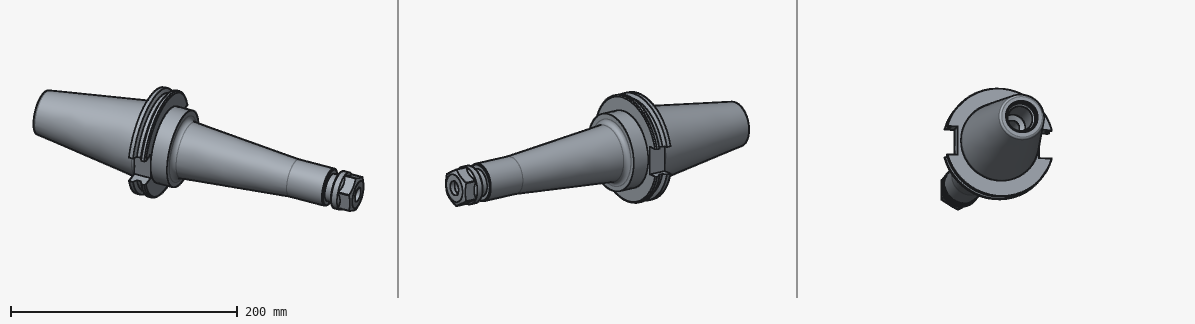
import cadquery as cq
import math

overall_length = 304.8
gauge_x = 101.5
flange_x = 104.5
flange_width = 16.0
collar_end_x = 136.0
cone_start_x = 140.5
cone_end_x = 243.2
body_end_x = 278.3
nut_x = 285.5
collar_cone_x = 292.0

gauge_diameter = 69.8
taper_slope = 7 / 24 / 2
small_end_radius = gauge_diameter / 2 - gauge_x * taper_slope
small_end_round = 2.0

flange_diameter = 97.2
flange_chamfer = 1.2
groove_width = 8.0
groove_depth = 3.7
groove_half_angle = math.radians(30)
slot_width = 25.5
slot_floor_front = 35.5
slot_floor_back = 37.8

collar_diameter = 70.0
cone_start_diameter = 51.5
root_fillet_radius = cone_start_x - collar_end_x
body_diameter = 34.0
body_chamfer = 1.0
thread_diameter = 25.0

through_bore_diameter = 12.8
mouth_diameter = 26.8
mouth_chamfer = 1.0
mouth_depth = 3.7
pilot_diameter = 26.2
pilot_depth = 6.7
tap_entry_x = 8.2
tapped_diameter = 22.3
tapped_depth = 42.7
drill_point_half_angle = math.radians(60)

nut_diameter = body_diameter
nut_chamfer = 1.0
nut_front_wall = 4.5
hex_sides = 6
hex_across_flats = 30.0
collar_cone_size = 2.5
hex_end_x = 302.7
nut_face_diameter = 25.0
thread_end_x = overall_length - nut_front_wall


def revolve_about_x(profile):
    """Revolve a closed profile drawn with X along the axis and Y as radius."""
    return profile.close().revolve(360, (0, 0, 0), (1, 0, 0))


def make_turned_blank():
    """Taper shank, collar, long cone, front cylinder and threaded end."""
    body_radius = body_diameter / 2
    thread_radius = thread_diameter / 2
    cone_radius = cone_start_diameter / 2
    blank = revolve_about_x(
        cq.Workplane("XY")
        .lineTo(0, small_end_radius)
        .lineTo(gauge_x, gauge_diameter / 2)
        .lineTo(flange_x, gauge_diameter / 2)
        .lineTo(flange_x, collar_diameter / 2)
        .lineTo(collar_end_x, collar_diameter / 2)
        .lineTo(collar_end_x, cone_radius + root_fillet_radius)
        .radiusArc((cone_start_x, cone_radius), -root_fillet_radius)
        .lineTo(cone_end_x, body_radius)
        .lineTo(body_end_x - body_chamfer, body_radius)
        .lineTo(body_end_x, body_radius - body_chamfer)
        .lineTo(body_end_x, thread_radius)
        .lineTo(thread_end_x, thread_radius)
        .lineTo(thread_end_x, 0)
    )
    return blank.faces("<X").edges().fillet(small_end_round)


def make_flange():
    """Flange ring with a V groove round its rim."""
    radius = flange_diameter / 2
    flange_end_x = flange_x + flange_width
    groove_x = flange_x + flange_width / 2
    floor_half_width = groove_width / 2 - groove_depth * math.tan(groove_half_angle)
    return revolve_about_x(
        cq.Workplane("XY")
        .moveTo(flange_x, 0)
        .lineTo(flange_x, radius)
        .lineTo(groove_x - groove_width / 2, radius)
        .lineTo(groove_x - floor_half_width, radius - groove_depth)
        .lineTo(groove_x + floor_half_width, radius - groove_depth)
        .lineTo(groove_x + groove_width / 2, radius)
        .lineTo(flange_end_x - flange_chamfer, radius)
        .lineTo(flange_end_x, radius - flange_chamfer)
        .lineTo(flange_end_x, 0)
    )


def make_drive_slot(floor_distance, side):
    """Cutter for one drive slot on the +Y (side = 1) or -Y (side = -1) rim."""
    depth = flange_diameter / 2
    return cq.Workplane("XY").box(flange_width, depth, slot_width).translate(
        (flange_x + flange_width / 2, side * (floor_distance + depth / 2), 0)
    )


def make_holder_bore():
    """Cutter for the stepped bore that runs through the holder."""
    mouth_radius = mouth_diameter / 2
    pilot_radius = pilot_diameter / 2
    tapped_radius = tapped_diameter / 2
    through_radius = through_bore_diameter / 2
    point_length = (tapped_radius - through_radius) / math.tan(drill_point_half_angle)
    return revolve_about_x(
        cq.Workplane("XY")
        .lineTo(0, mouth_radius + mouth_chamfer)
        .lineTo(mouth_chamfer, mouth_radius)
        .lineTo(mouth_depth, mouth_radius)
        .lineTo(mouth_depth, pilot_radius)
        .lineTo(pilot_depth, pilot_radius)
        .lineTo(tap_entry_x, tapped_radius)
        .lineTo(tapped_depth, tapped_radius)
        .lineTo(tapped_depth + point_length, through_radius)
        .lineTo(overall_length, through_radius)
        .lineTo(overall_length, 0)
    )


def make_holder():
    """Turned holder with its flange, drive slots and stepped bore."""
    holder = make_turned_blank().union(make_flange())
    for floor_distance, side in ((slot_floor_front, -1), (slot_floor_back, 1)):
        holder = holder.cut(make_drive_slot(floor_distance, side))
    return holder.cut(make_holder_bore())


def make_nut():
    """Round collar and hexagon, recessed for the thread and open at the front."""
    radius = nut_diameter / 2
    turned_outline = revolve_about_x(
        cq.Workplane("XY")
        .moveTo(nut_x, 0)
        .lineTo(nut_x, radius)
        .lineTo(hex_end_x, radius)
        .lineTo(overall_length, nut_face_diameter / 2)
        .lineTo(overall_length, 0)
    )
    collar = revolve_about_x(
        cq.Workplane("XY")
        .moveTo(nut_x, 0)
        .lineTo(nut_x, radius - nut_chamfer)
        .lineTo(nut_x + nut_chamfer, radius)
        .lineTo(collar_cone_x, radius)
        .lineTo(collar_cone_x + collar_cone_size, radius - collar_cone_size)
        .lineTo(collar_cone_x + collar_cone_size, 0)
    )
    hexagon_across_corners = hex_across_flats / math.cos(math.pi / hex_sides)
    hexagon = (
        cq.Workplane("YZ", origin=(collar_cone_x, 0, 0))
        .transformed(rotate=(0, 0, 90))
        .polygon(hex_sides, hexagon_across_corners)
        .extrude(overall_length - collar_cone_x)
        .intersect(turned_outline)
    )
    thread_recess = (
        cq.Workplane("YZ", origin=(nut_x, 0, 0))
        .circle(thread_diameter / 2)
        .extrude(thread_end_x - nut_x)
    )
    front_opening = (
        cq.Workplane("YZ", origin=(thread_end_x, 0, 0))
        .circle(through_bore_diameter / 2)
        .extrude(nut_front_wall)
    )
    return collar.union(hexagon).cut(thread_recess).cut(front_opening)


holder = make_holder()
nut = make_nut()
result = cq.Compound.makeCompound([holder.val(), nut.val()])